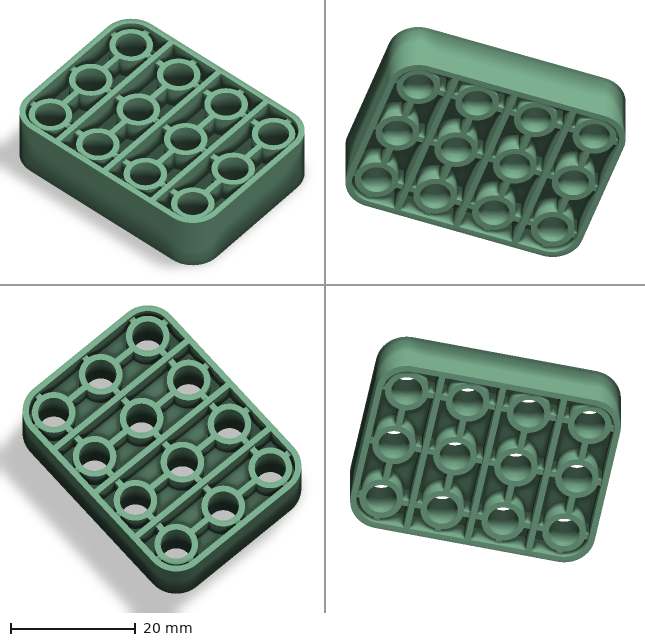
import cadquery as cq

pitch = 10.0
columns = 4
rows = 3
height = 10.0
corner_radius = pitch / 2
wall = 1.0
hole_diameter = 5.0
boss_wall = 1.0
boss_recess = 0.8

length = columns * pitch
width = rows * pitch
boss_diameter = hole_diameter + 2 * boss_wall
boss_height = height - 2 * boss_recess
pocket_depth = (height - wall) / 2
column_centres = [(i - (columns - 1) / 2) * pitch for i in range(columns)]
row_centres = [(j - (rows - 1) / 2) * pitch for j in range(rows)]
hole_centres = [(x, y) for x in column_centres for y in row_centres]


def plane_at(z):
    """Horizontal workplane at the given height."""
    return cq.Workplane("XY", origin=(0, 0, z))


def rounded_block(inset, bottom, depth):
    """Block with rounded vertical corners, inset from the outer outline."""
    return (
        plane_at(bottom)
        .rect(length - 2 * inset, width - 2 * inset)
        .extrude(depth)
        .edges("|Z")
        .fillet(corner_radius - inset)
    )


def double_tray():
    """Outer wall with a web at mid-height, open above and below it."""
    upper_pocket = rounded_block(wall, height - pocket_depth, pocket_depth)
    lower_pocket = rounded_block(wall, 0, pocket_depth)
    return rounded_block(0, 0, height).cut(upper_pocket).cut(lower_pocket)


def partitions():
    """Full-height walls along Y, halfway between neighbouring columns."""
    centres = [(x + pitch / 2, 0) for x in column_centres[:-1]]
    return plane_at(0).pushPoints(centres).rect(wall, width - wall).extrude(height)


def bosses():
    """Round bosses around the holes, ending short of both rims."""
    return plane_at(boss_recess).pushPoints(hole_centres).circle(boss_diameter / 2).extrude(boss_height)


def ribs():
    """Thin ribs through the boss centres along every row and column, level with the bosses."""
    base = plane_at(boss_recess)
    row_lines = [(0, y) for y in row_centres]
    column_lines = [(x, 0) for x in column_centres]
    along_x = base.pushPoints(row_lines).rect(length - wall, wall).extrude(boss_height)
    along_y = base.pushPoints(column_lines).rect(wall, width - wall).extrude(boss_height)
    return along_x.union(along_y)


def holes():
    """Through holes at every grid point."""
    return plane_at(0).pushPoints(hole_centres).circle(hole_diameter / 2).extrude(height)


result = double_tray().union(partitions()).union(bosses()).union(ribs()).cut(holes())